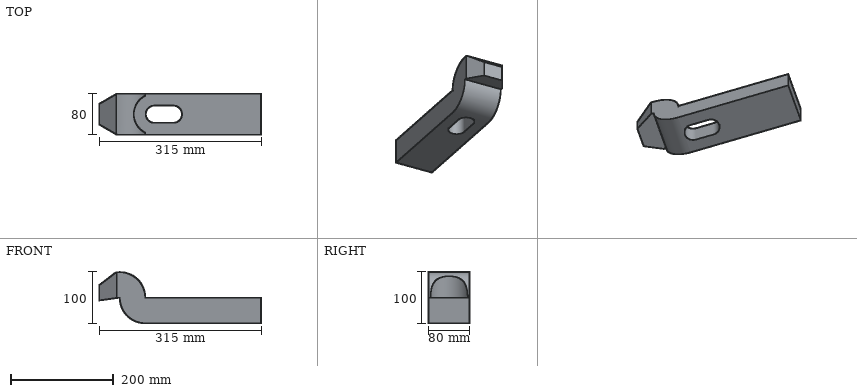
import cadquery as cq
import math

length = 315.0
width = 80.0
bar_height = 50.0

hook_radius = bar_height
upper_center_x = 40.0
lower_center_x = upper_center_x + hook_radius

nose_slope = math.radians(8.0)
tip_height = 30.0
tip_width = 40.0
cheek_angle = math.radians(30.0)

slot_start_x = 91.0
slot_width = 33.0
slot_length = 70.0
clearance_x = slot_start_x + slot_width / 2
clearance_radius = 40.0


def upper_arc_point(angle_from_vertical):
    """Point (x, z) on the hook's upper arc, with the angle leaning towards the bar."""
    return (
        upper_center_x + hook_radius * math.sin(angle_from_vertical),
        bar_height + hook_radius * math.cos(angle_from_vertical),
    )


def make_body():
    """Side profile of the bar, hook and nose, extruded across the width."""
    tip_bottom_z = bar_height - upper_center_x * math.tan(nose_slope)
    tip_top_z = tip_bottom_z + tip_height
    half_diagonal = hook_radius * math.sqrt(0.5)
    lower_arc_middle = (lower_center_x - half_diagonal, bar_height - half_diagonal)
    return (
        cq.Workplane("XZ")
        .moveTo(lower_center_x, 0)
        .lineTo(length, 0)
        .lineTo(length, bar_height)
        .lineTo(upper_center_x + hook_radius, bar_height)
        .threePointArc(upper_arc_point(math.pi / 4), upper_arc_point(-nose_slope))
        .lineTo(0, tip_top_z)
        .lineTo(0, tip_bottom_z)
        .lineTo(upper_center_x, bar_height)
        .threePointArc(lower_arc_middle, (lower_center_x, 0))
        .close()
        .extrude(width / 2, both=True)
    )


def cut_nose_cheeks(body):
    """Taper both sides of the nose down to the tip width."""
    cheek_depth = (width - tip_width) / 2
    cheek_length = cheek_depth / math.tan(cheek_angle)
    for side in (1, -1):
        cheek = (
            cq.Workplane("XY")
            .moveTo(0, side * tip_width / 2)
            .lineTo(cheek_length, side * width / 2)
            .lineTo(0, side * width / 2)
            .close()
            .extrude(bar_height + hook_radius)
        )
        body = body.cut(cheek)
    return body


def cut_slot(body):
    """Cut the rounded slot through the bar."""
    slot = (
        cq.Workplane("XY")
        .center(slot_start_x + slot_length / 2, 0)
        .slot2D(slot_length, slot_width)
        .extrude(bar_height)
    )
    return body.cut(slot)


def cut_washer_clearance(body):
    """Cut the round clearance out of the hook, down to the bar's top face."""
    clearance = (
        cq.Workplane("XY", origin=(clearance_x, 0, bar_height))
        .circle(clearance_radius)
        .extrude(hook_radius)
    )
    return body.cut(clearance)


result = cut_washer_clearance(cut_slot(cut_nose_cheeks(make_body())))